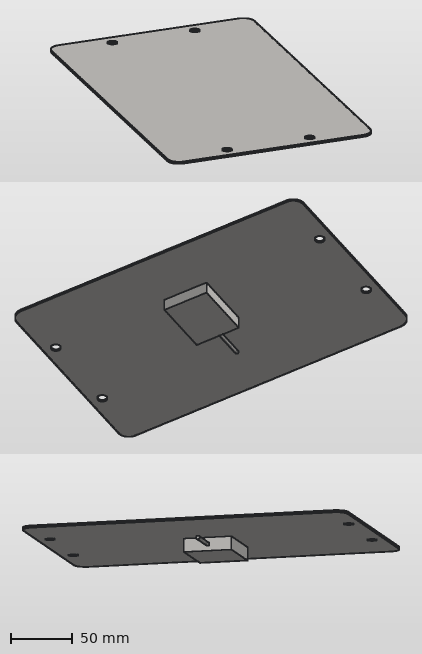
import cadquery as cq

sheet_count = 2
sheet_length = 273.0
sheet_width = 177.0
sheet_thickness = 1.0
corner_radius = 10.0
hole_diameter = 8.0
hole_spacing_x = 251.0
hole_spacing_y = 72.0

overall_height = 13.0
box_length_x = 40.0
box_length_y = 50.0
box_height = overall_height - sheet_count * sheet_thickness
box_front_y = -10.5
box_center_y = box_front_y + box_length_y / 2

cable_diameter = 3.0
cable_length = 30.0


def make_sheet(bottom_z):
    """Rounded rectangular sheet with four through holes."""
    return (
        cq.Workplane("XY", origin=(0, 0, bottom_z))
        .rect(sheet_length, sheet_width)
        .extrude(sheet_thickness)
        .edges("|Z")
        .fillet(corner_radius)
        .faces(">Z")
        .workplane(origin=(0, 0, 0))
        .rect(hole_spacing_x, hole_spacing_y, forConstruction=True)
        .vertices()
        .hole(hole_diameter)
    )


def make_box():
    """Plain block whose top face touches the lower sheet at Z = 0."""
    return (
        cq.Workplane("XY", origin=(0, box_center_y, -box_height))
        .rect(box_length_x, box_length_y)
        .extrude(box_height)
    )


def make_cable():
    """Round cable running toward -Y from the front face of the box."""
    return (
        cq.Workplane("XZ", origin=(0, box_front_y, -box_height / 2))
        .circle(cable_diameter / 2)
        .extrude(cable_length)
    )


sheets = [make_sheet(layer * sheet_thickness) for layer in range(sheet_count)]
box = make_box()
cable = make_cable()

result = cq.Compound.makeCompound([*[sheet.val() for sheet in sheets], box.val(), cable.val()])